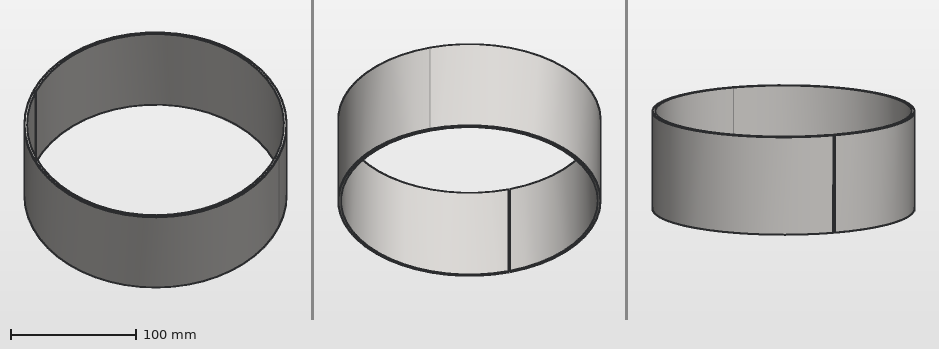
import cadquery as cq
import math

outer_radius = 105.0
wall_thickness = 2.5
height = 80.0
inner_radius = outer_radius - wall_thickness

outer_chamfer = 0.5
inner_chamfer = 0.2

split_angle = 1.0
cutter_reach = outer_radius + wall_thickness


def make_band():
    """Revolve the wall section, with all four corners chamfered, about Z."""
    wall_section = [
        (inner_radius + inner_chamfer, 0),
        (outer_radius - outer_chamfer, 0),
        (outer_radius, outer_chamfer),
        (outer_radius, height - outer_chamfer),
        (outer_radius - outer_chamfer, height),
        (inner_radius + inner_chamfer, height),
        (inner_radius, height - inner_chamfer),
        (inner_radius, inner_chamfer),
    ]
    axis_start = (0, 0, 0)
    axis_end = (0, -1, 0)
    return cq.Workplane("XZ").polyline(wall_section).close().revolve(360, axis_start, axis_end)


def make_split_cutter():
    split_width = cutter_reach * math.tan(math.radians(split_angle))
    wedge_outline = [(0, 0), (-cutter_reach, 0), (-cutter_reach, split_width)]
    return cq.Workplane("XY").polyline(wedge_outline).close().extrude(height)


result = make_band().cut(make_split_cutter())